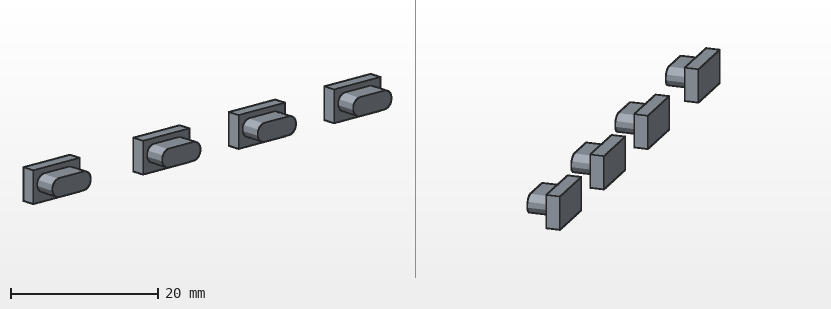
import cadquery as cq

row_length = 64.2
plate_thickness = 2.0
plate_length = 8.6
plate_height = 4.8

total_depth = 5.0
stem_depth = total_depth - plate_thickness
stem_length = 7.1
stem_height = 2.7
stem_rise = 0.225

wide_pitch = 20.3
regular_plugs = 3
pitch = (row_length - plate_length - wide_pitch) / (regular_plugs - 1)
first_center = -(row_length - plate_length) / 2
regular_start = first_center + wide_pitch
plug_centers = [first_center] + [regular_start + i * pitch for i in range(regular_plugs)]


def make_plug(center_y):
    """One plug: a rectangular plate with a slot-shaped stem on its +X face."""
    plate = cq.Workplane("XY").box(
        plate_thickness, plate_length, plate_height, centered=(False, True, True)
    )
    stem = (
        cq.Workplane("YZ", origin=(plate_thickness, 0, stem_rise))
        .slot2D(stem_length, stem_height)
        .extrude(stem_depth)
    )
    return plate.union(stem).translate((0, center_y, 0))


plugs = [make_plug(center_y) for center_y in plug_centers]

result = cq.Compound.makeCompound([plug.val() for plug in plugs])